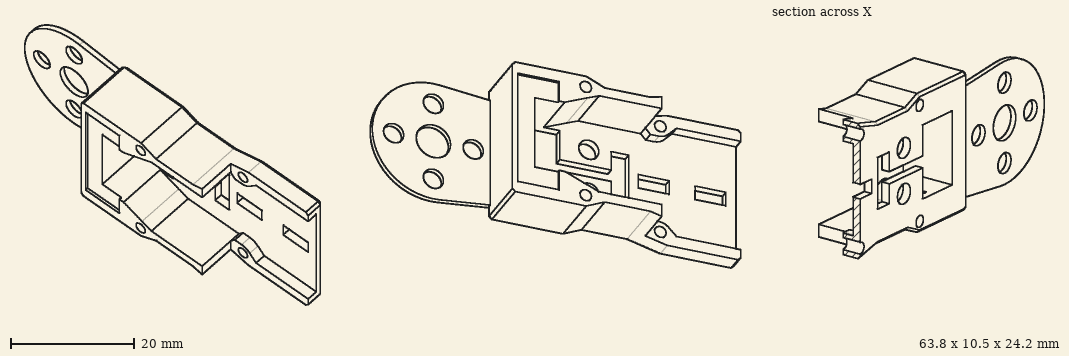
import cadquery as cq
import math


arm_radius = 10.75
arm_thickness = 1.0
arm_taper_angle = math.radians(6)
arm_centre_hole_diameter = 6.0
arm_hole_diameter = 3.5
arm_hole_circle_radius = 7.0

body_start_x = 9.95
body_end_x = 53.0
body_half_width = 12.1
body_height = 10.5
floor_thickness = 1.5
edge_chamfer = 0.5

waist_half_width = 10.65
waist_taper_start_x = 22.95
waist_start_x = 26.2
waist_end_x = 34.15
waist_taper_end_x = 40.0

tall_wall_end_x = 36.2
channel_half_width = 8.95
channel_flare_start_x = 19.15
channel_flare_kink_x = 23.1
channel_flare_kink_half_width = 8.1
channel_flare_end_x = 25.2

rail_height = 3.5
rail_inner_half_width = 10.1
ear_half_width = 7.95
ear_flat_start_x = 37.1
ear_round_radius = 2.5
ear_slope_angle = math.radians(45)
ear_end_x = 41.7

recess_start_x = 10.9
recess_end_x = 18.2
recess_half_width = 10.1
recess_depth = 0.5

window_start_x = 14.1
window_end_x = 22.0
window_half_width = 6.45
neck_half_width = 1.05
crossbar_start_x = 31.05
crossbar_end_x = 34.1
crossbar_half_width = 4.5
slot_length = 5.4
slot_width = 2.5
slot_centres_x = (38.5, 48.5)
floor_hole_diameter = 3.5
floor_hole_x = 27.1
floor_hole_z = 4.0

screw_hole_diameter = 2.0
screw_holes = ((22.85, 10.1), (38.85, 9.85))


def sketch_plane(depth=0.0):
    """Workplane at Y = -depth with local x, y along X, Z; extrusion runs toward -Y."""
    return cq.Workplane("XZ", origin=(0, -depth, 0))


def box(start_x, end_x, half_width, bottom, top):
    """Block centred on Z = 0 that spans the given heights above the mounting face."""
    return (
        sketch_plane(bottom)
        .center((start_x + end_x) / 2, 0)
        .rect(end_x - start_x, 2 * half_width)
        .extrude(top - bottom)
    )


def holes(points, diameter):
    """Cylinders through the full height of the part."""
    return sketch_plane().pushPoints(points).circle(diameter / 2).extrude(body_height)


def both_sides(solid):
    """The solid together with its mirror image across Z = 0."""
    return solid.union(solid.mirror("XY"))


def make_arm():
    """Round plate with five holes, tapering into the end wall of the body."""
    tangent_x = arm_radius * math.sin(arm_taper_angle)
    tangent_z = arm_radius * math.cos(arm_taper_angle)
    root_x = (body_start_x + recess_start_x) / 2
    root_z = tangent_z - (root_x - tangent_x) * math.tan(arm_taper_angle)
    arm = (
        sketch_plane()
        .moveTo(root_x, root_z)
        .lineTo(tangent_x, tangent_z)
        .threePointArc((-arm_radius, 0), (tangent_x, -tangent_z))
        .lineTo(root_x, -root_z)
        .close()
        .extrude(arm_thickness)
    )
    ring = arm_hole_circle_radius
    small_holes = holes([(ring, 0), (0, ring), (-ring, 0), (0, -ring)], arm_hole_diameter)
    return arm.cut(holes([(0, 0)], arm_centre_hole_diameter)).cut(small_holes)


def make_outer_body():
    """Full-height waisted prism with chamfered end corners and mounting-face edges."""
    upper_edge = [
        (body_start_x, body_half_width),
        (waist_taper_start_x, body_half_width),
        (waist_start_x, waist_half_width),
        (waist_end_x, waist_half_width),
        (waist_taper_end_x, body_half_width),
        (body_end_x, body_half_width),
    ]
    lower_edge = [(x, -z) for x, z in reversed(upper_edge)]
    body = sketch_plane().polyline(upper_edge + lower_edge).close().extrude(body_height)
    body = body.faces("<X or >X").edges("|Y").chamfer(edge_chamfer)
    return body.faces(">Y").edges().chamfer(edge_chamfer)


def make_channel():
    """Space between the tall walls, flared open from the window width with a slight kink."""
    profile = [
        (window_start_x, window_half_width),
        (channel_flare_start_x, window_half_width),
        (channel_flare_kink_x, channel_flare_kink_half_width),
        (channel_flare_end_x, channel_half_width),
        (tall_wall_end_x, channel_half_width),
    ]
    mirrored = [(x, -z) for x, z in reversed(profile)]
    return (
        sketch_plane(floor_thickness)
        .polyline(profile + mirrored)
        .close()
        .extrude(body_height - floor_thickness)
    )


def make_rail_space():
    """Space between the low rails, narrowed by an ear; the half on the +Z side."""
    slope_run = (rail_inner_half_width - ear_half_width) / math.tan(ear_slope_angle)
    ear_corner_x = ear_end_x - slope_run
    tangent_length = ear_round_radius * math.tan(ear_slope_angle / 2)
    round_end_x = ear_corner_x + tangent_length * math.cos(ear_slope_angle)
    round_end_z = ear_half_width + tangent_length * math.sin(ear_slope_angle)
    return (
        sketch_plane(floor_thickness)
        .moveTo(tall_wall_end_x, channel_half_width)
        .lineTo(ear_flat_start_x, ear_half_width)
        .lineTo(ear_corner_x - tangent_length, ear_half_width)
        .tangentArcPoint((round_end_x, round_end_z), relative=False)
        .lineTo(ear_end_x, rail_inner_half_width)
        .lineTo(body_end_x, rail_inner_half_width)
        .lineTo(body_end_x, 0)
        .lineTo(tall_wall_end_x, 0)
        .close()
        .extrude(rail_height - floor_thickness)
    )


def make_floor_openings():
    """Window, T-shaped cutout, slots and round holes through the floor."""
    window = box(window_start_x, window_end_x, window_half_width, 0, body_height)
    neck = box(window_end_x, crossbar_start_x, neck_half_width, 0, floor_thickness)
    crossbar = box(crossbar_start_x, crossbar_end_x, crossbar_half_width, 0, floor_thickness)
    openings = window.union(neck).union(crossbar)
    for x in slot_centres_x:
        slot = box(x - slot_length / 2, x + slot_length / 2, slot_width / 2, 0, floor_thickness)
        openings = openings.union(slot)
    return openings.union(both_sides(holes([(floor_hole_x, floor_hole_z)], floor_hole_diameter)))


def make_body():
    """Walled body with its channel, low rails, recess and all openings."""
    above_rails = box(tall_wall_end_x, body_end_x, body_half_width, rail_height, body_height)
    recess = box(recess_start_x, recess_end_x, recess_half_width, body_height - recess_depth, body_height)
    body = make_outer_body()
    body = body.cut(above_rails).cut(make_channel()).cut(both_sides(make_rail_space()))
    body = body.cut(recess).cut(make_floor_openings())
    return body.cut(both_sides(holes(screw_holes, screw_hole_diameter)))


result = make_body().union(make_arm())